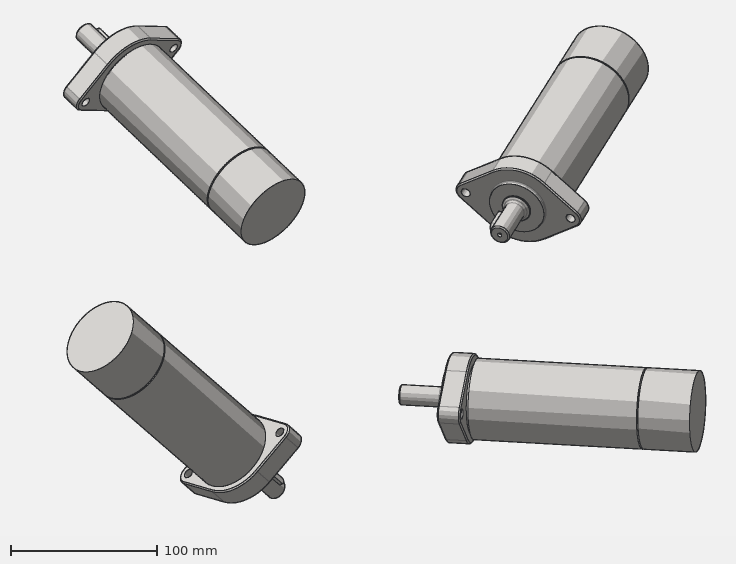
import cadquery as cq
import math

key_start = 5.0
shaft_flare_start = 28.3
flare_cone_start = 30.0
collar_start = 31.0
pilot_start = 32.0
flange_start = 34.8
flange_thickness = 16.0
neck_length = 2.0
rear_groove_start = 170.3
rear_groove_width = 1.0
overall_length = 207.3

shaft_diameter = 14.0
flare_cone_small_diameter = 16.6
flare_cone_large_diameter = 20.0
collar_diameter = 20.5
pilot_diameter = 40.0
neck_diameter = 48.18
body_diameter = 56.0
shaft_tip_chamfer = 1.0
pilot_base_fillet = 0.5
center_hole_diameter = 1.2
center_hole_depth = 5.0
countersink_diameter = 3.0
countersink_angle = 60.0

flange_main_radius = 31.0
flange_ear_radius = 7.5
bolt_spacing = 77.0
bolt_hole_diameter = 6.6
flange_edge_chamfer = 1.0

key_length = 18.0
key_width = 5.0
key_height = 5.0
key_top = 9.0

flange_end = flange_start + flange_thickness
body_start = flange_end + neck_length
rear_groove_end = rear_groove_start + rear_groove_width


def cylinder(diameter, start, end):
    """Cylinder about the X axis between two axial stations."""
    return cq.Workplane("YZ", origin=(start, 0, 0)).circle(diameter / 2).extrude(end - start)


def make_shaft():
    """Shaft with a chamfered tip, flaring through an arc and a cone into its collar."""
    return (
        cq.Workplane("XY")
        .moveTo(0, 0)
        .lineTo(0, shaft_diameter / 2 - shaft_tip_chamfer)
        .lineTo(shaft_tip_chamfer, shaft_diameter / 2)
        .lineTo(shaft_flare_start, shaft_diameter / 2)
        .tangentArcPoint((flare_cone_start, flare_cone_small_diameter / 2), relative=False)
        .lineTo(collar_start, flare_cone_large_diameter / 2)
        .lineTo(collar_start, collar_diameter / 2)
        .lineTo(pilot_start, collar_diameter / 2)
        .lineTo(pilot_start, 0)
        .close()
        .revolve(360, (0, 0, 0), (1, 0, 0))
    )


def make_pilot():
    """Centering disc with a small concave fillet where it meets the flange."""
    pilot_radius = pilot_diameter / 2
    return (
        cq.Workplane("XY")
        .moveTo(pilot_start, 0)
        .lineTo(pilot_start, pilot_radius)
        .lineTo(flange_start - pilot_base_fillet, pilot_radius)
        .tangentArcPoint((flange_start, pilot_radius + pilot_base_fillet), relative=False)
        .lineTo(flange_start, 0)
        .close()
        .revolve(360, (0, 0, 0), (1, 0, 0))
    )


def make_flange():
    """Lozenge with straight sides tangent to the main arcs and the ear arcs."""
    ear_center = bolt_spacing / 2
    tangent_angle = math.acos((flange_main_radius - flange_ear_radius) / ear_center)
    normal_y = math.cos(tangent_angle)
    normal_z = math.sin(tangent_angle)
    main_y = flange_main_radius * normal_y
    main_z = flange_main_radius * normal_z
    ear_y = ear_center + flange_ear_radius * normal_y
    ear_z = flange_ear_radius * normal_z
    ear_tip = ear_center + flange_ear_radius

    return (
        cq.Workplane("YZ", origin=(flange_start, 0, 0))
        .moveTo(-main_y, main_z)
        .threePointArc((0, flange_main_radius), (main_y, main_z))
        .lineTo(ear_y, ear_z)
        .threePointArc((ear_tip, 0), (ear_y, -ear_z))
        .lineTo(main_y, -main_z)
        .threePointArc((0, -flange_main_radius), (-main_y, -main_z))
        .lineTo(-ear_y, -ear_z)
        .threePointArc((-ear_tip, 0), (-ear_y, ear_z))
        .close()
        .extrude(flange_thickness)
        .faces("<X or >X")
        .chamfer(flange_edge_chamfer)
        .faces("<X")
        .workplane(origin=(flange_start, 0, 0))
        .pushPoints([(-ear_center, 0), (ear_center, 0)])
        .hole(bolt_hole_diameter)
    )


def make_body():
    core = cylinder(neck_diameter, flange_end, overall_length)
    gearbox = cylinder(body_diameter, body_start, rear_groove_start)
    motor = cylinder(body_diameter, rear_groove_end, overall_length)
    return core.union(gearbox).union(motor)


def make_key():
    key_center = key_start + key_length / 2
    return (
        cq.Workplane("XZ", origin=(key_center, key_top, 0))
        .slot2D(key_length, key_width)
        .extrude(key_height)
    )


def make_center_hole():
    """Countersunk center drilling in the shaft tip."""
    radial_step = (countersink_diameter - center_hole_diameter) / 2
    countersink_depth = radial_step / math.tan(math.radians(countersink_angle / 2))
    return (
        cq.Workplane("XY")
        .moveTo(0, 0)
        .lineTo(0, countersink_diameter / 2)
        .lineTo(countersink_depth, center_hole_diameter / 2)
        .lineTo(center_hole_depth, center_hole_diameter / 2)
        .lineTo(center_hole_depth, 0)
        .close()
        .revolve(360, (0, 0, 0), (1, 0, 0))
    )


result = make_flange().union(make_pilot()).union(make_shaft()).union(make_body())
result = result.union(make_key()).cut(make_center_hole())